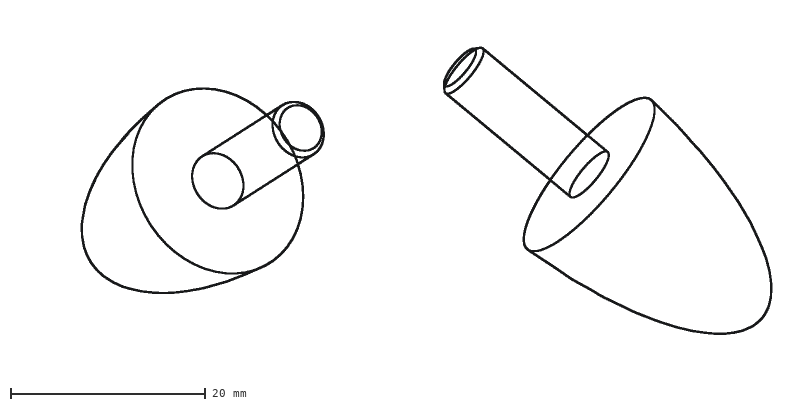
import cadquery as cq
import math

buffer_diameter = 20.0
buffer_length = 24.0
stud_diameter = 6.0
stud_length = 18.0
stud_chamfer = 0.54

ellipse_centre_y = 5.0
ellipse_semi_length = buffer_length + ellipse_centre_y
base_angle = math.acos(ellipse_centre_y / ellipse_semi_length)
ellipse_semi_width = buffer_diameter / 2 / math.sin(base_angle)


def make_buffer():
    """Solid of revolution with a flat base and an elliptical flank that closes in a rounded tip."""
    tip_angle = 270.0
    profile = (
        cq.Workplane("XY", origin=(0, ellipse_centre_y, 0))
        .ellipseArc(
            ellipse_semi_width,
            ellipse_semi_length,
            tip_angle,
            tip_angle + math.degrees(base_angle),
            startAtCurrent=False,
        )
        .lineTo(0, -ellipse_centre_y)
        .close()
    )
    return profile.revolve(360, (0, 0), (0, 1))


def make_stud():
    """Plain round stud standing on the buffer's base, with a chamfered free end."""
    return (
        cq.Workplane("XZ")
        .circle(stud_diameter / 2)
        .extrude(-stud_length)
        .faces(">Y")
        .chamfer(stud_chamfer)
    )


buffer = make_buffer()
stud = make_stud()

result = cq.Compound.makeCompound([buffer.val(), stud.val()])